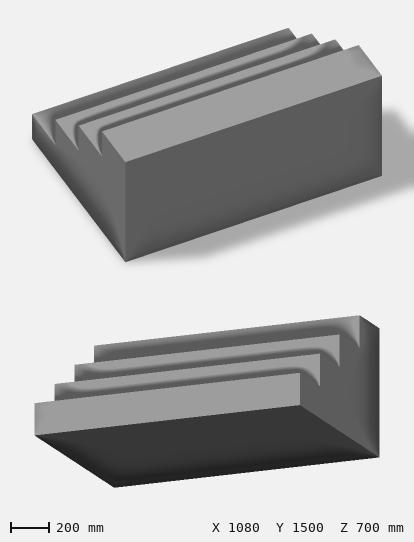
import cadquery as cq

step_count = 4
tread_depth = 270.0
riser_height = 175.0
stair_width = 1500.0


def stair_profile():
    """Closed stepped outline in the XZ plane, rising toward +X from the origin."""
    total_run = step_count * tread_depth
    points = [(0, 0)]
    for step in range(step_count):
        tread_level = (step + 1) * riser_height
        points.append((step * tread_depth, tread_level))
        points.append(((step + 1) * tread_depth, tread_level))
    points.append((total_run, 0))
    return cq.Workplane("XZ").polyline(points).close()


result = stair_profile().extrude(-stair_width)